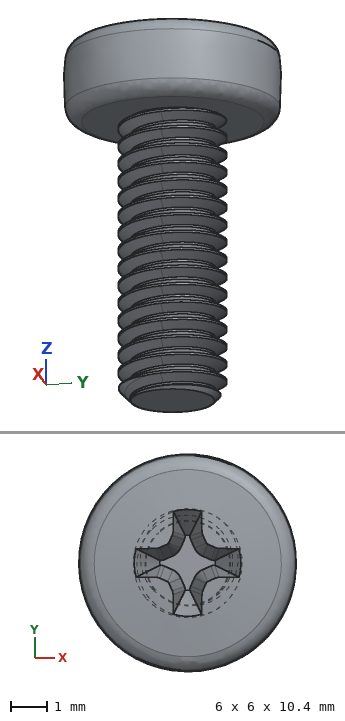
import cadquery as cq
import math


head_diameter = 6.0
head_height = 2.4
head_rim_diameter = 5.81
head_shoulder_height = 2.15
head_top_edge_radius = 0.45
head_bottom_edge_radius = 0.45

thread_diameter = 3.0
shank_length = 8.0
pitch = 0.5
flank_half_angle = math.radians(30)
crest_flat = pitch / 8
root_flat = pitch / 8
crest_start_height = -0.1
thread_depth = (pitch - crest_flat - root_flat) / (2 * math.tan(flank_half_angle))
overrun_turns = 2
trim_clearance = 0.3
tip_chamfer = 0.345

recess_depth = 1.5
recess_flat_angle = math.radians(24)
recess_root_radius = 0.25
recess_mouth_reach = 1.5
recess_mouth_half_width = 0.405
recess_mouth_ridge = 0.75
recess_mouth_ridge_radius = 0.07
recess_floor_reach = 0.76
recess_floor_half_width = 0.065
recess_floor_ridge = 0.365
recess_floor_ridge_radius = 0.44


def make_head():
    radius = head_diameter / 2
    rim_radius = head_rim_diameter / 2
    profile = (
        cq.Workplane("YZ")
        .moveTo(0, 0)
        .lineTo(-rim_radius, 0)
        .threePointArc((-radius, head_shoulder_height / 2), (-rim_radius, head_shoulder_height))
    )
    dome_rise = head_height - head_shoulder_height
    dome_radius = (rim_radius**2 + dome_rise**2) / (2 * dome_rise)
    middle_radius = rim_radius / 2
    middle_height = head_height - dome_radius + math.sqrt(dome_radius**2 - middle_radius**2)
    profile = profile.threePointArc((-middle_radius, middle_height), (0, head_height)).close()
    head = profile.revolve(360, (0, 0, 0), (0, 1, 0))
    head = head.edges(">Y").edges(">Z").fillet(head_top_edge_radius)
    return head.faces("<Z").edges().fillet(head_bottom_edge_radius)


def make_endless_rod():
    """Right-handed threaded rod, longer than the shank, closed turn by turn from helical strips."""
    crest_radius = thread_diameter / 2
    root_radius = crest_radius - thread_depth
    tooth = [
        (root_radius, 0),
        (root_radius, root_flat),
        (crest_radius, (pitch + root_flat - crest_flat) / 2),
        (crest_radius, (pitch + root_flat + crest_flat) / 2),
        (root_radius, pitch),
    ]
    turns = math.ceil(shank_length / pitch) + 2 * overrun_turns
    crest_above_start = (pitch + root_flat) / 2
    start_height = crest_start_height - crest_above_start - (turns - overrun_turns) * pitch

    def one_turn(radius, height):
        return cq.Wire.makeHelix(pitch, pitch, radius).translate((0, 0, height)).Edges()[0]

    faces = []
    for turn in range(turns):
        turn_height = start_height + turn * pitch
        helices = [one_turn(radius, turn_height + height) for radius, height in tooth]
        for lower, upper in zip(helices, helices[1:]):
            faces.append(cq.Face.makeRuledSurface(lower, upper))

    for end_height in (start_height, start_height + turns * pitch):
        axis_bottom = cq.Vector(0, 0, end_height)
        axis_top = cq.Vector(0, 0, end_height + pitch)
        axis = cq.Edge.makeLine(axis_bottom, axis_top)
        faces.append(cq.Face.makeRuledSurface(axis, one_turn(root_radius, end_height)))
        flank_points = [cq.Vector(radius, 0, end_height + height) for radius, height in tooth]
        step = cq.Wire.makePolygon([axis_bottom, *flank_points, axis_top], close=True)
        faces.append(cq.Face.makeFromWires(step))
    return cq.Workplane(obj=cq.Solid.makeSolid(cq.Shell.makeShell(faces)).fix())


def make_shank():
    trim_radius = thread_diameter / 2 + trim_clearance
    trim = cq.Workplane("XY").circle(trim_radius).extrude(-shank_length)
    trim = trim.faces("<Z").chamfer(tip_chamfer + trim_clearance)
    return trim.intersect(make_endless_rod())


def rounded_corner(corner, heading_in, heading_out, radius):
    """Start, middle and end of the arc that rounds a corner between two straight headings."""
    turn = heading_out - heading_in
    setback = radius * math.tan(abs(turn) / 2)
    to_middle = radius / math.cos(turn / 2) - radius
    inward = (heading_in + heading_out) / 2 + math.copysign(math.pi / 2, turn)

    def from_corner(distance, heading):
        return corner[0] + distance * math.cos(heading), corner[1] + distance * math.sin(heading)

    start = from_corner(-setback, heading_in)
    return start, from_corner(to_middle, inward), from_corner(setback, heading_out)


def cross_outline(plane, reach, half_width, ridge, ridge_radius):
    """Four wings with arced ends; between wings, two flats meet in a rounded ridge."""
    end_side = math.sqrt(reach**2 - half_width**2)
    ridge_side = ridge / math.sqrt(2)
    root_side = ridge_side + (ridge_side - half_width) / math.tan(recess_flat_angle)
    inwards = math.pi
    along_first_flat = inwards - recess_flat_angle
    along_second_flat = math.pi / 2 + recess_flat_angle
    outwards = math.pi / 2
    corner_arcs = [
        rounded_corner((root_side, half_width), inwards, along_first_flat, recess_root_radius),
        rounded_corner((ridge_side, ridge_side), along_first_flat, along_second_flat, ridge_radius),
        rounded_corner((half_width, root_side), along_second_flat, outwards, recess_root_radius),
    ]

    def turned(point, quarters):
        x, y = point
        for _ in range(quarters):
            x, y = -y, x
        return x, y

    outline = plane.moveTo(end_side, -half_width)
    for quarters in range(4):
        wing_tip = turned((reach, 0), quarters)
        outline = outline.threePointArc(wing_tip, turned((end_side, half_width), quarters))
        for start, middle, end in corner_arcs:
            outline = outline.lineTo(*turned(start, quarters))
            outline = outline.threePointArc(turned(middle, quarters), turned(end, quarters))
        outline = outline.lineTo(*turned((half_width, end_side), quarters))
    return outline.close()


def make_recess():
    floor = cross_outline(
        cq.Workplane("XY").workplane(offset=head_height - recess_depth),
        recess_floor_reach,
        recess_floor_half_width,
        recess_floor_ridge,
        recess_floor_ridge_radius,
    )
    mouth = cross_outline(
        floor.workplane(offset=recess_depth),
        recess_mouth_reach,
        recess_mouth_half_width,
        recess_mouth_ridge,
        recess_mouth_ridge_radius,
    )
    return mouth.loft(ruled=True)


result = make_head().cut(make_recess()).union(make_shank())